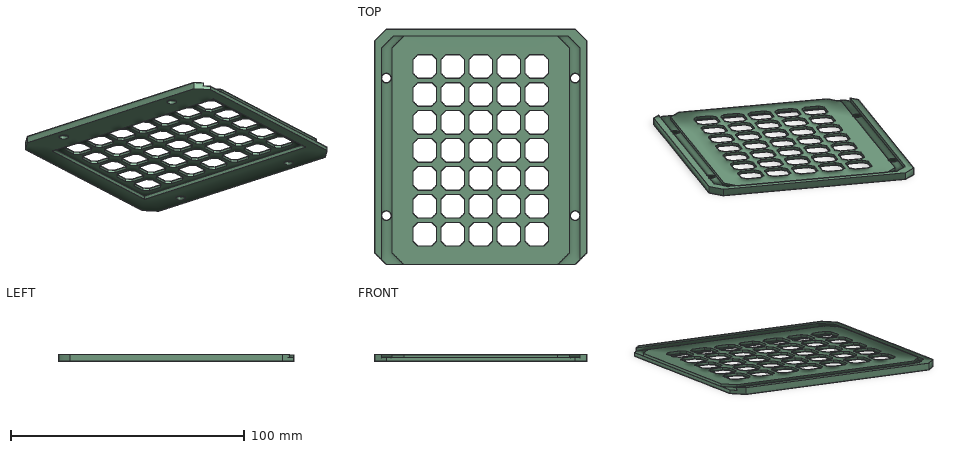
import cadquery as cq

frame_width = 91.0
frame_length = 101.0
frame_height = 3.0
corner_chamfer = 5.0
rim_width = 3.0
recess_depth = 1.4
floor_height = frame_height - recess_depth

recess_width = frame_width - 2 * rim_width
recess_length = frame_length - rim_width
recess_center_y = -rim_width / 2

screw_hole_diameter = 4.0
screw_inset_x = 5.0
screw_spacing_x = frame_width - 2 * screw_inset_x
screw_spacing_y = 59.0

plate_width = 76.0
plate_length = recess_length
plate_thickness = 1.2

opening_size = 10.0
opening_chamfer = 2.0
opening_pitch = 12.0
columns = 5
rows = 7

window_margin = 3.0
window_width = (columns - 1) * opening_pitch + opening_size + 2 * window_margin
window_length = (rows - 1) * opening_pitch + opening_size + 2 * window_margin


def block(width, length, height, center_y, bottom):
    """Rectangular block centred on X, standing on the given level."""
    return (
        cq.Workplane("XY", origin=(0, center_y, bottom))
        .rect(width, length)
        .extrude(height)
    )


def make_frame():
    body = block(frame_width, frame_length, frame_height, 0, 0)
    body = body.edges("|Z").chamfer(corner_chamfer)

    recess = block(recess_width, recess_length, recess_depth, recess_center_y, floor_height)
    recess = recess.edges("|Z and >Y").chamfer(corner_chamfer)

    window = block(window_width, window_length, floor_height, recess_center_y, 0)

    screw_holes = (
        cq.Workplane("XY")
        .rect(screw_spacing_x, screw_spacing_y, forConstruction=True)
        .vertices()
        .circle(screw_hole_diameter / 2)
        .extrude(frame_height)
    )
    return body.cut(recess).cut(window).cut(screw_holes)


def make_grid_plate():
    body = block(plate_width, plate_length, plate_thickness, recess_center_y, floor_height)
    body = body.edges("|Z").chamfer(corner_chamfer)

    openings = (
        cq.Workplane("XY", origin=(0, recess_center_y, floor_height))
        .rarray(opening_pitch, opening_pitch, columns, rows)
        .rect(opening_size, opening_size)
        .extrude(plate_thickness)
        .edges("|Z")
        .chamfer(opening_chamfer)
    )
    return body.cut(openings)


frame = make_frame()
grid_plate = make_grid_plate()

result = cq.Compound.makeCompound([frame.val(), grid_plate.val()])